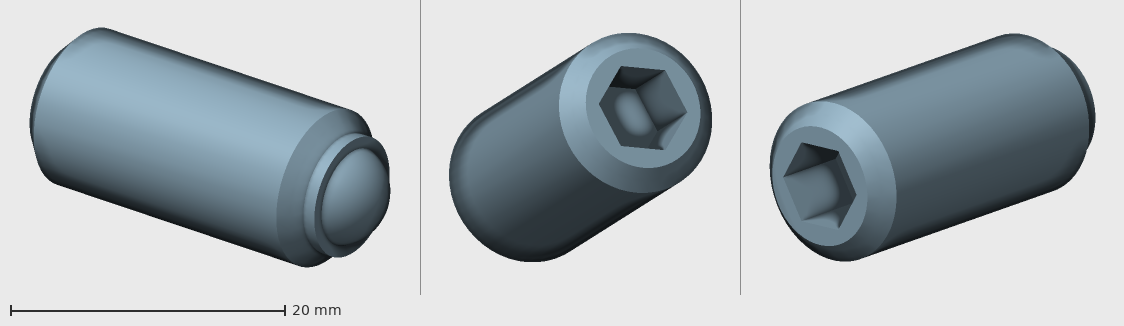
import cadquery as cq
import math

total_length = 28.5
body_diameter = 12.0
body_length = 25.0
chamfer = 1.5

collar_diameter = 9.18
collar_end = 26.0
ball_radius = 4.0

hex_across_flats = 6.0
socket_depth = 6.0

body_radius = body_diameter / 2
collar_radius = collar_diameter / 2
nose_chamfer = body_radius - collar_radius
ball_center = total_length - ball_radius
ball_exit_radius = math.sqrt(ball_radius**2 - (collar_end - ball_center) ** 2)
arc_angle = math.atan2(ball_exit_radius, collar_end - ball_center) / 2
arc_middle = (
    ball_center + ball_radius * math.cos(arc_angle),
    ball_radius * math.sin(arc_angle),
)


def make_plunger():
    """Revolve the half section of body, collar and ball about the X axis."""
    return (
        cq.Workplane("XY")
        .moveTo(0, 0)
        .lineTo(0, body_radius - chamfer)
        .lineTo(chamfer, body_radius)
        .lineTo(body_length - nose_chamfer, body_radius)
        .lineTo(body_length, collar_radius)
        .lineTo(collar_end, collar_radius)
        .lineTo(collar_end, ball_exit_radius)
        .threePointArc(arc_middle, (total_length, 0))
        .close()
        .revolve(360, (0, 0, 0), (1, 0, 0))
    )


def make_socket():
    """Hexagonal prism with two corners along Y and flats facing up and down."""
    across_corners = hex_across_flats / math.cos(math.pi / 6)
    return cq.Workplane("YZ").polygon(6, across_corners).extrude(socket_depth)


result = make_plunger().cut(make_socket())